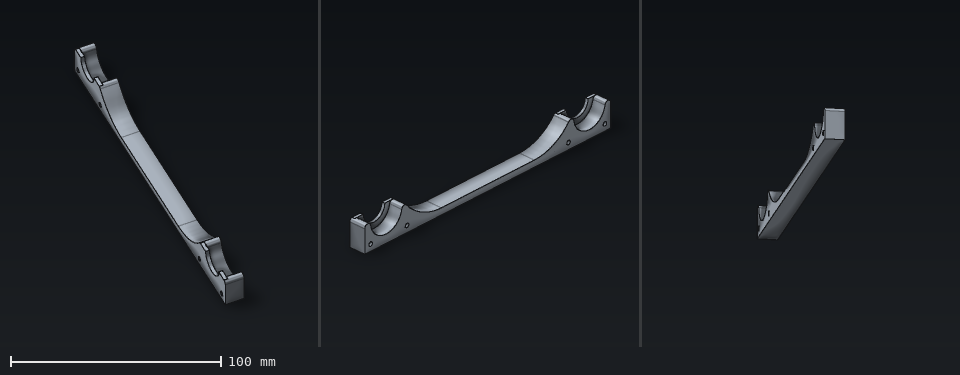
import cadquery as cq
import math

length = 169.0
depth = 10.0
height = 16.0
web_height = 4.0

seat_x = 14.7
lip_radius = 7.35
lip_thickness = 2.0
lip_drop = 0.1

post_round = 2.0
post_center_z = height - post_round
post_offset = seat_x - post_round
seat_radius = math.hypot(post_offset, post_round) - post_round

sweep_start = 29.0
sweep_end = 52.5

hole_diameter = 2.4
hole_z = 4.0
hole_positions = (4.0, 29.0)

half_length = length / 2


def front_cylinder(x, z, radius, thickness):
    """Cylinder running back along Y from the front face."""
    return cq.Workplane("XZ").center(x, z).circle(radius).extrude(-thickness)


def make_half_body():
    """Left half of the bar without lip, with its end at X = 0 and front face at Y = 0."""
    outer_post_x = seat_x - post_offset
    inner_post_x = seat_x + post_offset

    tangent_share = seat_radius / (seat_radius + post_round)
    tangent_dx = post_offset * tangent_share
    tangent_z = height - post_round * tangent_share

    start_z = post_center_z + math.sqrt(post_round**2 - (sweep_start - inner_post_x) ** 2)
    run = sweep_end - sweep_start
    rise = start_z - web_height
    sweep_radius = (run**2 + rise**2) / (2 * rise)
    half_angle = math.asin(run / sweep_radius) / 2
    sweep_mid = (
        sweep_end - sweep_radius * math.sin(half_angle),
        web_height + sweep_radius * (1 - math.cos(half_angle)),
    )

    return (
        cq.Workplane("XZ")
        .moveTo(0, 0)
        .lineTo(0, post_center_z)
        .threePointArc((outer_post_x, height), (seat_x - tangent_dx, tangent_z))
        .threePointArc((seat_x, height - seat_radius), (seat_x + tangent_dx, tangent_z))
        .threePointArc((inner_post_x, height), (sweep_start, start_z))
        .threePointArc(sweep_mid, (sweep_end, web_height))
        .lineTo(half_length, web_height)
        .lineTo(half_length, 0)
        .close()
        .extrude(-depth)
    )


def make_lip():
    """Front wall between the post crests, opened by a smaller half-round."""
    wall = (
        cq.Workplane("XY")
        .box(2 * post_offset, lip_thickness, height - lip_drop, centered=(True, False, False))
        .translate((seat_x, 0, 0))
    )
    return wall.cut(front_cylinder(seat_x, height, lip_radius, lip_thickness))


def make_half():
    crest_trim = (
        cq.Workplane("XY")
        .box(half_length, lip_thickness, lip_drop, centered=False)
        .translate((0, 0, height - lip_drop))
    )
    half = make_half_body().cut(crest_trim).union(make_lip())
    for x in hole_positions:
        half = half.cut(front_cylinder(x, hole_z, hole_diameter / 2, depth))
    return half.translate((-half_length, 0, 0))


left_half = make_half()
right_half = left_half.mirror("YZ")
result = left_half.union(right_half, clean=True)